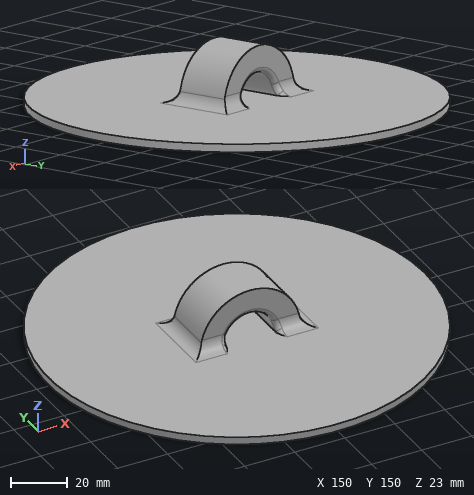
import math

import cadquery as cq

disc_diameter = 150
disc_thickness = 3
arch_radius = 20.0
bore_radius = arch_radius / 2
arch_width = 20.0
foot_fillet = arch_width / 4
bore_edge_fillet = 2.0

base_depth = 2 * foot_fillet
base_half_width = arch_width / 2 + 2 * foot_fillet
base_half_length = arch_radius + foot_fillet


def arch_profile():
    """Half-round outline with flared feet, swept along Y."""
    flare_center_x = math.sqrt((arch_radius + foot_fillet) ** 2 - foot_fillet**2)
    touch_ratio = arch_radius / (arch_radius + foot_fillet)
    touch_x = flare_center_x * touch_ratio
    touch_z = foot_fillet * touch_ratio
    start_angle = math.atan2(touch_z - foot_fillet, touch_x - flare_center_x)
    middle_angle = (start_angle % (2 * math.pi) + 1.5 * math.pi) / 2
    middle_x = flare_center_x + foot_fillet * math.cos(middle_angle)
    middle_z = foot_fillet + foot_fillet * math.sin(middle_angle)
    return (
        cq.Workplane("XZ", origin=(0, base_half_width, 0))
        .moveTo(-base_half_length, -base_depth)
        .lineTo(-base_half_length, 0)
        .lineTo(-flare_center_x, 0)
        .threePointArc((-middle_x, middle_z), (-touch_x, touch_z))
        .threePointArc((0, arch_radius), (touch_x, touch_z))
        .threePointArc((middle_x, middle_z), (flare_center_x, 0))
        .lineTo(base_half_length, 0)
        .lineTo(base_half_length, -base_depth)
        .close()
        .extrude(2 * base_half_width)
    )


def width_profile():
    """Straight-sided outline with flared feet, swept along X."""
    half_width = arch_width / 2
    foot_half_width = half_width + foot_fillet
    arc_inset = foot_fillet * (1 - math.sqrt(0.5))
    return (
        cq.Workplane("YZ", origin=(-base_half_length, 0, 0))
        .moveTo(-base_half_width, -base_depth)
        .lineTo(-base_half_width, 0)
        .lineTo(-foot_half_width, 0)
        .threePointArc((-half_width - arc_inset, arc_inset), (-half_width, foot_fillet))
        .lineTo(-half_width, arch_radius)
        .lineTo(half_width, arch_radius)
        .lineTo(half_width, foot_fillet)
        .threePointArc((half_width + arc_inset, arc_inset), (foot_half_width, 0))
        .lineTo(base_half_width, 0)
        .lineTo(base_half_width, -base_depth)
        .close()
        .extrude(2 * base_half_length)
    )


def bore():
    """Round-topped passage along Y, straight-sided below Z = 0."""
    return (
        cq.Workplane("XZ", origin=(0, base_half_width, 0))
        .moveTo(-bore_radius, -base_depth)
        .lineTo(-bore_radius, 0)
        .threePointArc((0, bore_radius), (bore_radius, 0))
        .lineTo(bore_radius, -base_depth)
        .close()
        .extrude(2 * base_half_width)
    )


def eye():
    """Arch with its feet blended outwards and the mouths of its bore rounded."""
    body = arch_profile().intersect(width_profile()).cut(bore())
    for side in (-1, 1):
        mouth_top = cq.selectors.NearestToPointSelector((0, side * arch_width / 2, bore_radius))
        body = body.edges(mouth_top).fillet(bore_edge_fillet)
    above_disc = cq.Workplane("XY").box(
        2 * base_half_length, 2 * base_half_width, arch_radius, centered=(True, True, False)
    )
    return body.intersect(above_disc)


disc = cq.Workplane("XY").circle(disc_diameter / 2).extrude(-disc_thickness)

result = disc.union(eye())